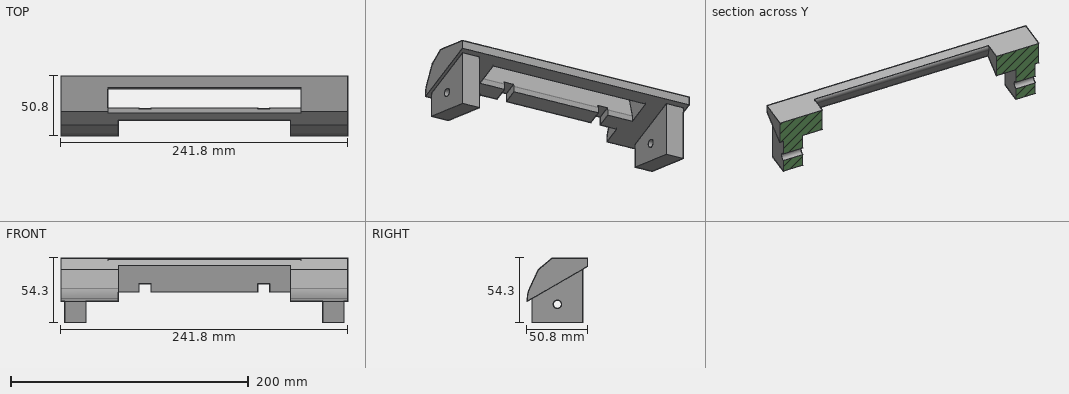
import cadquery as cq
import math

LENGTH = 241.8
DEPTH = 50.8
REAR_HEIGHT = 7.0
UNDERSIDE_ANGLE = 30.0
TOP_DEPTH = 30.0
UPPER_FACE_DEPTH = 41.5
UPPER_FACE_ANGLE = 40.0
LOWER_FACE_ANGLE = 65.0
NOSE_RADIUS = 20.0

RECESS_LENGTH = 145.0
RECESS_DEPTH = 37.5

WINDOW_LENGTH = 162.5
WINDOW_LEAN = 15.0
WINDOW_FRONT_DEPTH = 31.5
WINDOW_FRONT_FOOT_DEPTH = 27.05
WINDOW_LIP_RADIUS = 4.0
WINDOW_LIP_DEPTH = 11.2
WINDOW_REAR_DEPTH = 9.9

NOTCH_WIDTH = 10.0
NOTCH_CENTRE = 50.0
NOTCH_HEIGHT = 7.0
NOTCH_REAR_CLEARANCE = 1.0

LEG_WIDTH = 18.2
LEG_LENGTH = 43.0
LEG_END_INSET = 3.2
LEG_DROP = 18.0
HOLE_DIAMETER = 6.8
HOLE_ABOVE_LEG_BOTTOM = 15.5

UNDERSIDE_SLOPE = math.tan(math.radians(UNDERSIDE_ANGLE))
BODY_HEIGHT = REAR_HEIGHT + DEPTH * UNDERSIDE_SLOPE
HEIGHT = BODY_HEIGHT + LEG_DROP


def point(depth, drop):
    """Profile point as (Y, Z)."""
    return (-depth, -drop)


def underside_drop(depth):
    return REAR_HEIGHT + depth * UNDERSIDE_SLOPE


def upper_face_drop(depth):
    return (depth - TOP_DEPTH) * math.tan(math.radians(UPPER_FACE_ANGLE))


def along_x(profile, length, centre=0.0):
    """Extrude a closed YZ profile along X, centred at the given X."""
    return profile.extrude(length / 2, both=True).translate((centre, 0, 0))


def make_body():
    """Sloped-bottom bar whose front bends down in two flats and a rounded nose."""
    upper_drop = upper_face_drop(UPPER_FACE_DEPTH)
    lower_slope = math.tan(math.radians(LOWER_FACE_ANGLE))
    nose_turn = math.radians(90.0 - LOWER_FACE_ANGLE)
    nose_start_depth = DEPTH - NOSE_RADIUS * (1 - math.cos(nose_turn))
    nose_start_drop = upper_drop + (nose_start_depth - UPPER_FACE_DEPTH) * lower_slope
    nose_end_drop = nose_start_drop + NOSE_RADIUS * math.sin(nose_turn)
    nose_middle = point(
        DEPTH - NOSE_RADIUS * (1 - math.cos(nose_turn / 2)),
        nose_end_drop - NOSE_RADIUS * math.sin(nose_turn / 2),
    )
    profile = (
        cq.Workplane("YZ")
        .moveTo(*point(0, 0))
        .lineTo(*point(TOP_DEPTH, 0))
        .lineTo(*point(UPPER_FACE_DEPTH, upper_drop))
        .lineTo(*point(nose_start_depth, nose_start_drop))
        .threePointArc(nose_middle, point(DEPTH, nose_end_drop))
        .lineTo(*point(DEPTH, BODY_HEIGHT))
        .lineTo(*point(0, REAR_HEIGHT))
        .close()
    )
    return along_x(profile, LENGTH)


def make_window():
    """Window cutter: parallel leaning walls, the rear one rolling over to the top
    and the front one turning upright at its foot."""
    lean = math.radians(WINDOW_LEAN)
    centre_depth = WINDOW_LIP_DEPTH - WINDOW_LIP_RADIUS
    start_angle = math.acos((WINDOW_REAR_DEPTH - centre_depth) / WINDOW_LIP_RADIUS)
    centre_drop = WINDOW_LIP_RADIUS * math.sin(start_angle)

    def lip_point(angle):
        return (
            centre_depth + WINDOW_LIP_RADIUS * math.cos(angle),
            centre_drop - WINDOW_LIP_RADIUS * math.sin(angle),
        )

    lip_end_depth, lip_end_drop = lip_point(-lean)
    front_drop = upper_face_drop(WINDOW_FRONT_DEPTH)
    rear_bottom = lip_end_depth - (HEIGHT - lip_end_drop) * math.tan(lean)
    foot_drop = front_drop + (WINDOW_FRONT_DEPTH - WINDOW_FRONT_FOOT_DEPTH) / math.tan(lean)
    front_top = WINDOW_FRONT_DEPTH + front_drop * math.tan(lean)
    profile = (
        cq.Workplane("YZ")
        .moveTo(*point(WINDOW_REAR_DEPTH, 0))
        .threePointArc(
            point(*lip_point((start_angle - lean) / 2)),
            point(lip_end_depth, lip_end_drop),
        )
        .lineTo(*point(rear_bottom, HEIGHT))
        .lineTo(*point(WINDOW_FRONT_FOOT_DEPTH, HEIGHT))
        .lineTo(*point(WINDOW_FRONT_FOOT_DEPTH, foot_drop))
        .lineTo(*point(front_top, 0))
        .close()
    )
    return along_x(profile, WINDOW_LENGTH)


def make_recess():
    """Cutter for everything ahead of the upright front wall."""
    profile = cq.Workplane("YZ").polyline([
        point(RECESS_DEPTH, 0),
        point(DEPTH, 0),
        point(DEPTH, HEIGHT),
        point(RECESS_DEPTH, HEIGHT),
    ]).close()
    return along_x(profile, RECESS_LENGTH)


def make_notch(side):
    """Slot through the front wall, cut up from the sloped underside."""
    near = WINDOW_FRONT_FOOT_DEPTH - NOTCH_REAR_CLEARANCE
    far = RECESS_DEPTH
    profile = cq.Workplane("YZ").polyline([
        point(near, underside_drop(near) - NOTCH_HEIGHT),
        point(far, underside_drop(far) - NOTCH_HEIGHT),
        point(far, underside_drop(far)),
        point(near, underside_drop(near)),
    ]).close()
    return along_x(profile, NOTCH_WIDTH, side * NOTCH_CENTRE)


def make_leg(side):
    """Upright leg that reaches up to the sloped underside."""
    rear = (DEPTH - LEG_LENGTH) / 2
    front = rear + LEG_LENGTH
    profile = cq.Workplane("YZ").polyline([
        point(rear, underside_drop(rear)),
        point(front, underside_drop(front)),
        point(front, HEIGHT),
        point(rear, HEIGHT),
    ]).close()
    leg_centre = LENGTH / 2 - LEG_END_INSET - LEG_WIDTH / 2
    return along_x(profile, LEG_WIDTH, side * leg_centre)


def make_cross_hole():
    centre = point(DEPTH / 2, HEIGHT - HOLE_ABOVE_LEG_BOTTOM)
    return along_x(cq.Workplane("YZ").center(*centre).circle(HOLE_DIAMETER / 2), LENGTH)


result = make_body().cut(make_recess()).cut(make_window())
for side in (-1, 1):
    result = result.cut(make_notch(side))
    result = result.union(make_leg(side))
result = result.cut(make_cross_hole())